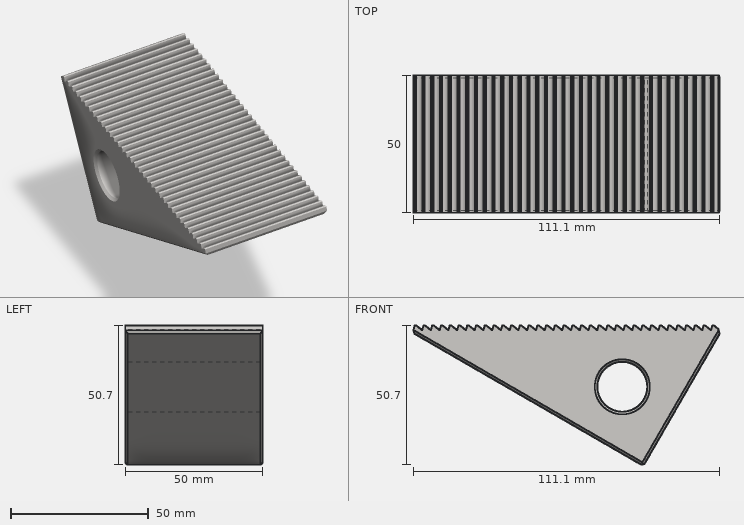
import cadquery as cq
import math

LENGTH = 111.1
WIDTH = 50.0
HEIGHT = 50.7

LONG_SIDE_ANGLE = math.radians(30)
SHORT_SIDE_ANGLE = math.radians(60)

BEVEL_ANGLE = math.radians(45)
BEVEL_FOOT_DEPTH = 3.1

TOOTH_COUNT = 35
TOOTH_PITCH = LENGTH / TOOTH_COUNT
TOOTH_DEPTH = 1.8
STEEP_FLANK_RUN = 0.5
LAND_RUN = 0.6
LAND_RISE = 0.1

EDGE_CHAMFER = 1.0

HOLE_DIAMETER = 18.0
HOLE_CHAMFER = 1.0
HOLE_X = 75.8
HOLE_Z = -22.3


def line_crossing(point_a, slope_a, point_b, slope_b):
    """Point where two sloping lines in the XZ plane meet."""
    (xa, za), (xb, zb) = point_a, point_b
    x = (zb - za + slope_a * xa - slope_b * xb) / (slope_a - slope_b)
    return x, za + slope_a * (x - xa)


long_slope = -math.tan(LONG_SIDE_ANGLE)
short_slope = math.tan(SHORT_SIDE_ANGLE)
end_bevel_slope = -math.tan(LONG_SIDE_ANGLE + BEVEL_ANGLE)
bottom_bevel_slope = math.tan(BEVEL_ANGLE - LONG_SIDE_ANGLE)

left_bevel_top = (0, -TOOTH_DEPTH)
left_bevel_foot = line_crossing(left_bevel_top, end_bevel_slope, (0, -BEVEL_FOOT_DEPTH), 0)
right_bevel_foot = (LENGTH, -BEVEL_FOOT_DEPTH)
bottom_left = line_crossing(left_bevel_foot, long_slope, (0, -HEIGHT), 0)
bottom_right = line_crossing(bottom_left, bottom_bevel_slope, right_bevel_foot, short_slope)
sharp_corner = line_crossing(left_bevel_foot, long_slope, right_bevel_foot, short_slope)


def tooth_points():
    """Tooth row from the top of the left bevel to the top of the right bevel."""
    points = [left_bevel_top]
    for i in range(TOOTH_COUNT):
        root_x = i * TOOTH_PITCH
        land_x = root_x + STEEP_FLANK_RUN
        if i > 0:
            points.append((root_x, -TOOTH_DEPTH))
        points.append((land_x, -LAND_RISE))
        points.append((land_x + LAND_RUN, 0))
    ramp_slope = -TOOTH_DEPTH / (TOOTH_PITCH - STEEP_FLANK_RUN - LAND_RUN)
    points.append(line_crossing(points[-1], ramp_slope, right_bevel_foot, end_bevel_slope))
    return points


def make_body():
    """Toothed triangular prism with bevelled corners."""
    lower_points = [right_bevel_foot, bottom_right, bottom_left, left_bevel_foot]
    outline = tooth_points() + lower_points
    return cq.Workplane("XZ").polyline(outline).close().extrude(-WIDTH)


def make_edge_wedge(side_angle, inward_angle, face_y, chamfer_depth):
    """Wedge running up one lower side from the bottom corner, along one end face."""
    plane = cq.Plane(
        origin=(sharp_corner[0], 0, sharp_corner[1]),
        xDir=(math.cos(inward_angle), 0, math.sin(inward_angle)),
        normal=(math.cos(side_angle), 0, math.sin(side_angle)),
    )
    face = plane.yDir.y * face_y
    depth = plane.yDir.y * chamfer_depth
    section = [(0, face), (EDGE_CHAMFER, face), (0, face + depth)]
    return cq.Workplane(plane).polyline(section).close().extrude(LENGTH)


def chamfer_lower_sides(body):
    """Chamfer both lower sides along both end faces."""
    long_side_up = math.pi - LONG_SIDE_ANGLE
    short_side_up = SHORT_SIDE_ANGLE
    for side_angle, inward_angle in ((long_side_up, short_side_up), (short_side_up, long_side_up)):
        body = body.cut(make_edge_wedge(side_angle, inward_angle, 0, EDGE_CHAMFER))
        body = body.cut(make_edge_wedge(side_angle, inward_angle, WIDTH, -EDGE_CHAMFER))
    return body


def make_hole():
    """Cylinder along Y that widens to a cone at each end face."""
    radius = HOLE_DIAMETER / 2
    mouth_radius = radius + HOLE_CHAMFER
    half_section = [
        (0, 0),
        (mouth_radius, 0),
        (radius, HOLE_CHAMFER),
        (radius, WIDTH - HOLE_CHAMFER),
        (mouth_radius, WIDTH),
        (0, WIDTH),
    ]
    hole = cq.Workplane("XY").polyline(half_section).close().revolve(360, (0, 0, 0), (0, 1, 0))
    return hole.translate((HOLE_X, 0, HOLE_Z))


result = chamfer_lower_sides(make_body()).cut(make_hole())